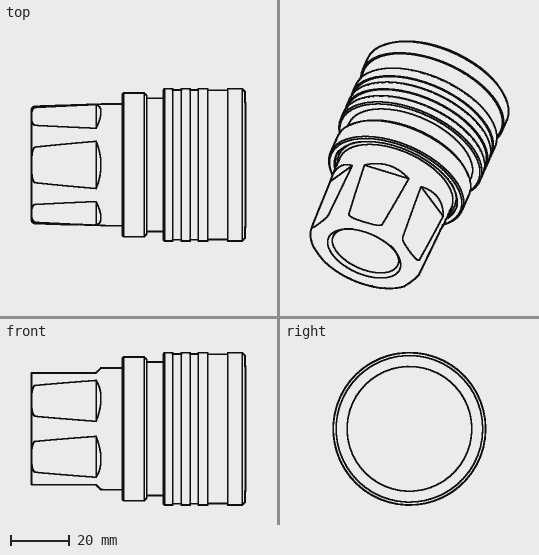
import cadquery as cq

length = 73.0

nose_face_radius = 18.55
nose_round = 1.45
nose_front_radius = nose_face_radius + nose_round
neck_radius = 20.8
nose_end = 25.9
flat_count = 6
flat_distance = 19.05
flat_length = 22.05
cutter_margin = 7.3

collar_start = 30.95
collar_end = 39.35
collar_radius = 24.5
collar_front_chamfer = 0.5
collar_rear_chamfer = 0.95
waist_radius = 22.8

shoulder_round = 0.7
shoulder_radius = neck_radius + shoulder_round
recess_radius = 22.35
recess_end = collar_start + 1.1

sleeve_start = 44.9
sleeve_radius = 26.0
sleeve_front_chamfer = 0.5
sleeve_rear_chamfer = 1.0
rear_lip_radius = 21.25
rear_lip_height = 0.2
sleeve_end = length - rear_lip_height

grip_groove_radius = 25.55
wide_groove_radius = 25.5
grooves = [
    (48.1, 51.1, grip_groove_radius),
    (54.1, 56.8, grip_groove_radius),
    (60.15, 66.9, wide_groove_radius),
]

bore_radius = 12.05
bore_mouth_radius = 13.3
bore_mouth_depth = bore_mouth_radius - bore_radius
bore_depth = nose_end


def disc(start, end, radius):
    """Cylinder on the X axis between two stations."""
    return cq.Workplane("YZ", origin=(start, 0, 0)).circle(radius).extrude(end - start)


def turned(outline):
    """Close an outline of (x, radius) points and revolve it about the X axis."""
    return outline.close().revolve(360, (0, 0, 0), (1, 0, 0))


def make_flat_cutter():
    """Block that leaves one flat, with a 45 degree run-out wall at its rear."""
    outline = (
        cq.Workplane("XZ")
        .moveTo(-cutter_margin, flat_distance)
        .lineTo(flat_length, flat_distance)
        .lineTo(flat_length + cutter_margin, flat_distance + cutter_margin)
        .lineTo(-cutter_margin, flat_distance + cutter_margin)
        .close()
    )
    return outline.extrude(flat_distance, both=True)


def make_nose():
    """Tapered nose and plain neck, with the wrench flats cut into them."""
    outline = (
        cq.Workplane("XY")
        .lineTo(0, nose_face_radius)
        .radiusArc((nose_round, nose_front_radius), nose_round)
        .lineTo(nose_end, neck_radius)
        .lineTo(collar_start, neck_radius)
        .lineTo(collar_start, 0)
    )
    nose = turned(outline)
    flat_cutter = make_flat_cutter()
    for index in range(flat_count):
        angle = index * 360 / flat_count
        nose = nose.cut(flat_cutter.rotate((0, 0, 0), (1, 0, 0), angle))
    return nose


def make_collar():
    """Chamfered collar, recessed at the front around the rounded shoulder."""
    collar = disc(collar_start, collar_end, collar_radius)
    collar = collar.faces("<X").chamfer(collar_front_chamfer)
    collar = collar.faces(">X").chamfer(collar_rear_chamfer)
    shoulder = disc(collar_start, recess_end, shoulder_radius)
    shoulder = shoulder.faces("<X").edges().fillet(shoulder_round)
    return collar.cut(disc(collar_start, recess_end, recess_radius)).union(shoulder)


def make_sleeve():
    """Chamfered sleeve with its shallow grooves and rear lip."""
    sleeve = disc(sleeve_start, sleeve_end, sleeve_radius)
    sleeve = sleeve.faces("<X").chamfer(sleeve_front_chamfer)
    sleeve = sleeve.faces(">X").chamfer(sleeve_rear_chamfer)
    for start, end, floor_radius in grooves:
        outer = disc(start, end, sleeve_radius + cutter_margin)
        sleeve = sleeve.cut(outer.cut(disc(start, end, floor_radius)))
    return sleeve.union(disc(sleeve_end, length, rear_lip_radius))


def make_bore():
    outline = (
        cq.Workplane("XY")
        .lineTo(0, bore_mouth_radius)
        .lineTo(bore_mouth_depth, bore_radius)
        .lineTo(bore_depth, bore_radius)
        .lineTo(bore_depth, 0)
    )
    return turned(outline)


waist = disc(collar_end, sleeve_start, waist_radius)
body = make_nose().union(make_collar()).union(waist).union(make_sleeve())
result = body.cut(make_bore())